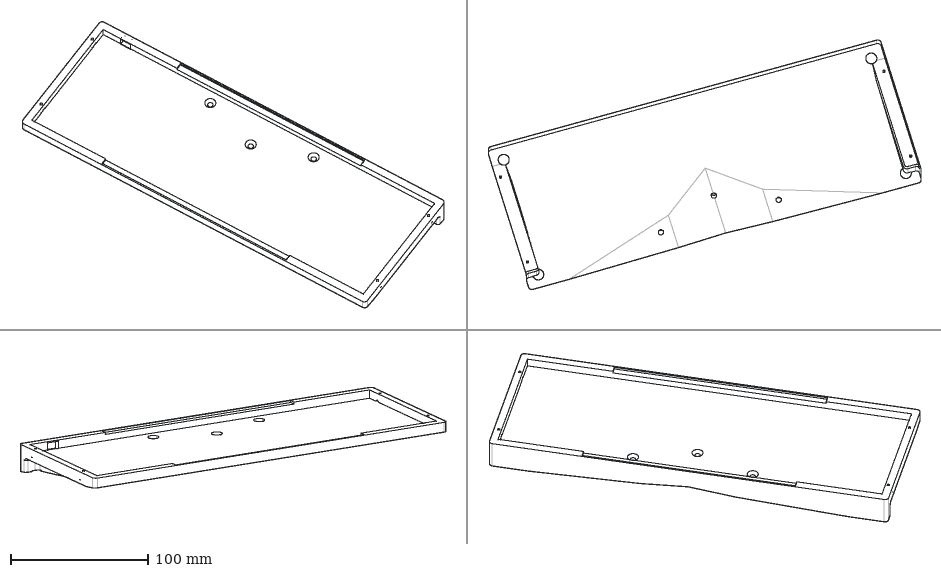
import cadquery as cq
import math

length = 298.7
width = 108.0
back_height = 21.0
front_height = 7.5
corner_radius = 2.7
half_length = length / 2
back_y = width / 2
front_y = -back_y
slope_angle = math.degrees(math.atan2(back_height - front_height, width))

wall_side = 5.7
wall_long = 6.0
pocket_depth = 6.3
relief_half_length = 79.8
relief_depth = 1.5
relief_lip = 1.2

mount_spacing = 44.8
outer_mount_inset = 15.2
middle_mount_inset = 30.5
mount_diameter = 4.0
mount_sink_diameter = 8.0

pin_diameter = 1.6
pin_sink_diameter = 6.0
pin_side_inset = 3.5
pin_back_insets = (17.3, 86.3)

undercut_depth = 10.8
leg_depth = 9.3
leg_radius = 2.0
undercut_roof = 9.0
roof_bevel_height = 1.8
roof_bevel_angle = 30
inner_radius = 2.7

arch_peak = 14.3
arch_knee_x = 35.8
arch_knee_drop = 17.5
arch_end_x = 119.5

foot_diameter = 8.0
foot_inset = 9.5
foot_depth = 0.5

socket_start = 20.5
socket_width = 9.0
socket_depth = 4.2
socket_top = 1.0
socket_bottom = 7.2

clearance = 6.0


def block(x0, x1, y0, y1, z0, z1):
    return cq.Workplane("XY").box(x1 - x0, y1 - y0, z1 - z0, centered=False).translate((x0, y0, z0))


def underside_z(y):
    return -back_height + (back_y - y) * (back_height - front_height) / width


def make_case():
    side = [(front_y, 0), (back_y, 0), (back_y, -back_height), (front_y, -front_height)]
    wedge = cq.Workplane("YZ").polyline(side).close().extrude(half_length, both=True)
    return wedge.edges("|Z").fillet(corner_radius)


def make_pocket():
    half_x = half_length - wall_side
    half_y = back_y - wall_long
    pocket = block(-half_x, half_x, -half_y, half_y, -pocket_depth, clearance)
    relief_y = back_y - relief_lip
    relief = block(-relief_half_length, relief_half_length, -relief_y, relief_y, -relief_depth, clearance)
    return pocket.union(relief)


def make_socket():
    x0 = -half_length + socket_start
    y0 = back_y - wall_long
    return block(x0, x0 + socket_width, y0, y0 + socket_depth, -socket_bottom, -socket_top)


def make_countersunk_hole(x, y, diameter, sink_diameter, narrowing):
    """Through hole with a 45 degree cone, widest at the tray floor and narrowing up (1) or down (-1)."""
    shaft = cq.Workplane("XY").center(x, y).circle(diameter / 2).extrude(-back_height - clearance)
    cone = cq.Solid.makeCone(
        sink_diameter / 2, diameter / 2, (sink_diameter - diameter) / 2,
        pnt=cq.Vector(x, y, -pocket_depth), dir=cq.Vector(0, 0, narrowing),
    )
    return shaft.union(cq.Workplane(obj=cone))


def make_left_undercut():
    outside = -half_length - clearance
    wall_x = -half_length + undercut_depth
    leg_y = back_y - leg_depth
    bend = math.sqrt(0.5)
    round_x = -half_length + leg_radius
    round_y = leg_y + leg_radius
    hollow_x = wall_x - inner_radius
    hollow_y = leg_y - inner_radius
    straight_height = back_height + clearance - undercut_roof - roof_bevel_height
    outline = (
        cq.Workplane("XY", origin=(0, 0, -back_height - clearance))
        .moveTo(outside, front_y - clearance)
        .lineTo(outside, round_y)
        .lineTo(-half_length, round_y)
        .threePointArc((round_x - leg_radius * bend, round_y - leg_radius * bend), (round_x, leg_y))
        .lineTo(hollow_x, leg_y)
        .threePointArc((hollow_x + inner_radius * bend, hollow_y + inner_radius * bend), (wall_x, hollow_y))
        .lineTo(wall_x, front_y - clearance)
        .close()
    )
    straight = outline.extrude(straight_height)
    roof_outline = straight.faces(">Z").wires().toPending().workplane()
    roof = roof_outline.extrude(roof_bevel_height, taper=roof_bevel_angle, combine=False)
    return straight.union(roof)


def make_arch():
    low = -back_height - clearance
    points = [
        (-arch_end_x, low), (-arch_end_x, -back_height), (-arch_knee_x, -arch_knee_drop), (0, -arch_peak),
        (arch_knee_x, -arch_knee_drop), (arch_end_x, -back_height), (arch_end_x, low),
    ]
    return cq.Workplane("XZ").polyline(points).close().extrude(width, both=True)


def make_foot_recess(x, y):
    recess = cq.Workplane("XY").circle(foot_diameter / 2).extrude(foot_depth + clearance)
    recess = recess.translate((0, 0, -clearance)).rotate((0, 0, 0), (1, 0, 0), -slope_angle)
    return recess.translate((x, y, underside_z(y)))


result = make_case().cut(make_arch())
left_undercut = make_left_undercut()
result = result.cut(left_undercut).cut(left_undercut.mirror("YZ"))
result = result.cut(make_pocket()).cut(make_socket())

mounts = [(-mount_spacing, outer_mount_inset), (0, middle_mount_inset), (mount_spacing, outer_mount_inset)]
for x, inset in mounts:
    result = result.cut(make_countersunk_hole(x, back_y - inset, mount_diameter, mount_sink_diameter, -1))

for side in (-1, 1):
    for inset in pin_back_insets:
        pin_x = side * (half_length - pin_side_inset)
        result = result.cut(make_countersunk_hole(pin_x, back_y - inset, pin_diameter, pin_sink_diameter, 1))
    for end in (-1, 1):
        foot_x = side * (half_length - foot_inset)
        result = result.cut(make_foot_recess(foot_x, end * (back_y - foot_inset)))